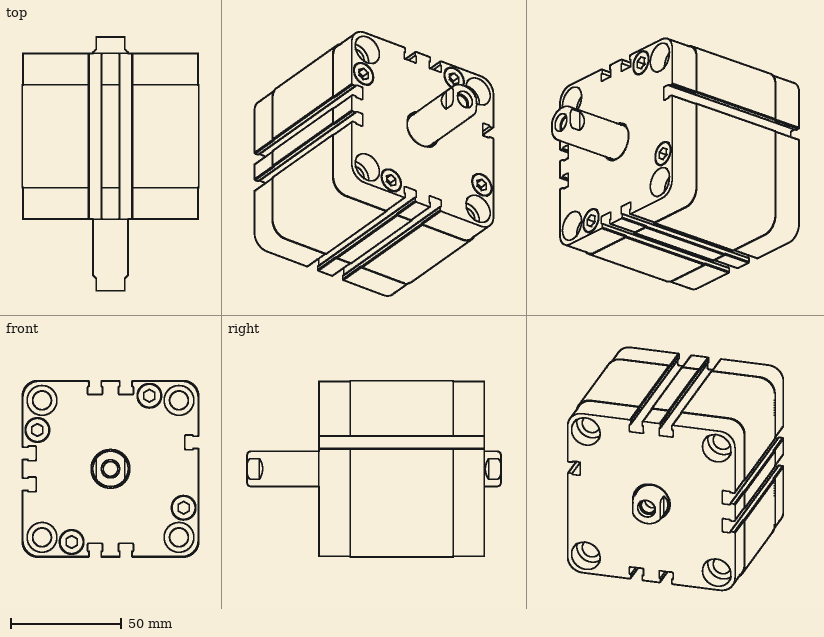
import cadquery as cq
import math


BARREL_WIDTH = 80.0
BARREL_CORNER_RADIUS = 7.3
CAP_STEP = 0.35
CAP_WIDTH = BARREL_WIDTH - 2 * CAP_STEP
CAP_CORNER_RADIUS = BARREL_CORNER_RADIUS - CAP_STEP / 2
CAP_LENGTH = 14.2
HOUSING_LENGTH = 75.0
BARREL_LENGTH = HOUSING_LENGTH - 2 * CAP_LENGTH

SLOT_OFFSET = 7.0
SINGLE_SLOT_OFFSET = 12.0
SLOT_MOUTH_WIDTH = 5.4
SLOT_INNER_WIDTH = 6.6
SLOT_LIP_LEVEL = BARREL_WIDTH / 2 - 2.6
SLOT_FLOOR_LEVEL = BARREL_WIDTH / 2 - 6.3
SLOT_INNER_RADIUS = 0.5
SLOT_EDGE_CHAMFER = 0.4
SLOT_CUT_MARGIN = 1.0

MOUNT_HOLE_SPACING = 62.0
MOUNT_HOLE_DIAMETER = 8.38
MOUNT_COUNTERBORE_DIAMETER = 13.5
MOUNT_COUNTERBORE_DEPTH = 8.3

SCREW_SHORT_OFFSET = 17.6
SCREW_LONG_OFFSET = 33.1
SCREW_COUNT = 4
SCREW_SEAT_DIAMETER = 11.1
SCREW_HEAD_DIAMETER = 10.5
SCREW_HEAD_HEIGHT = 6.0
SCREW_SOCKET_FLATS = 5.0
SCREW_SOCKET_DEPTH = 4.0

ROD_DIAMETER = 16.0
ROD_FRONT_PROJECTION = 32.5
ROD_REAR_PROJECTION = 7.5
ROD_LENGTH = ROD_FRONT_PROJECTION + HOUSING_LENGTH + ROD_REAR_PROJECTION
ROD_TIP_RADIUS = 1.8
ROD_FLATS_WIDTH = 13.0
ROD_FLATS_LENGTH = 5.6
ROD_SEAL_DIAMETER = 17.6
ROD_SEAL_DEPTH = 1.0

THREAD_CORE_DIAMETER = 6.65
THREAD_MOUTH_DIAMETER = 8.25
THREAD_MOUTH_DEPTH = 3.0
THREAD_DEPTH = 20.0
DRILL_POINT_ANGLE = 118.0


def plane_at(y):
    """Plane across the rod axis: local x is X, local y is Z, extrusions run toward -Y."""
    return cq.Workplane("XZ", origin=(0, y, 0))


def slot_cutter(half_width, y_start, length):
    """T-slot tool centred on X = 0, opening through the top face at Z = half_width."""
    inner_height = SLOT_LIP_LEVEL - SLOT_FLOOR_LEVEL
    mid_height = SLOT_FLOOR_LEVEL + inner_height / 2
    chamber = (
        plane_at(y_start + length)
        .center(0, mid_height)
        .rect(SLOT_INNER_WIDTH, inner_height)
        .extrude(length)
        .edges("|Y")
        .fillet(SLOT_INNER_RADIUS)
    )
    half_mouth = SLOT_MOUTH_WIDTH / 2
    half_flare = half_mouth + SLOT_EDGE_CHAMFER
    mouth = (
        plane_at(y_start + length)
        .moveTo(-half_mouth, mid_height)
        .lineTo(half_mouth, mid_height)
        .lineTo(half_mouth, half_width - SLOT_EDGE_CHAMFER)
        .lineTo(half_flare, half_width)
        .lineTo(half_flare, half_width + SLOT_CUT_MARGIN)
        .lineTo(-half_flare, half_width + SLOT_CUT_MARGIN)
        .lineTo(-half_flare, half_width)
        .lineTo(-half_mouth, half_width - SLOT_EDGE_CHAMFER)
        .close()
        .extrude(length)
    )
    return chamber.union(mouth)


def on_face(tool, offset, turn):
    """Shift a top-face tool sideways, then turn it about Y onto another face."""
    return tool.translate((offset, 0, 0)).rotate((0, 0, 0), (0, 1, 0), turn)


def housing_section(width, corner_radius, y_start, length):
    """Rounded square section of the housing with its sensor slots."""
    section = plane_at(y_start + length).rect(width, width).extrude(length)
    section = section.edges("|Y").fillet(corner_radius)
    cutter = slot_cutter(width / 2, y_start, length)
    for turn in (0, 180, 270):
        for offset in (-SLOT_OFFSET, SLOT_OFFSET):
            section = section.cut(on_face(cutter, offset, turn))
    return section.cut(on_face(cutter, -SINGLE_SLOT_OFFSET, 90))


def housing():
    """Barrel with an end cap on each end."""
    front_cap = housing_section(CAP_WIDTH, CAP_CORNER_RADIUS, 0, CAP_LENGTH)
    barrel = housing_section(BARREL_WIDTH, BARREL_CORNER_RADIUS, CAP_LENGTH, BARREL_LENGTH)
    rear_cap = front_cap.translate((0, CAP_LENGTH + BARREL_LENGTH, 0))
    return front_cap.union(barrel).union(rear_cap)


def cylinder(diameter, y_start, length):
    """Cylinder on the rod axis, from y_start toward +Y."""
    return plane_at(y_start + length).circle(diameter / 2).extrude(length)


def mounting_holes():
    """Four through holes with a counterbore at each end."""
    rear_start = HOUSING_LENGTH - MOUNT_COUNTERBORE_DEPTH
    hole = (
        cylinder(MOUNT_HOLE_DIAMETER, 0, HOUSING_LENGTH)
        .union(cylinder(MOUNT_COUNTERBORE_DIAMETER, 0, MOUNT_COUNTERBORE_DEPTH))
        .union(cylinder(MOUNT_COUNTERBORE_DIAMETER, rear_start, MOUNT_COUNTERBORE_DEPTH))
    )
    half = MOUNT_HOLE_SPACING / 2
    holes = cq.Workplane()
    for x in (-half, half):
        for z in (-half, half):
            holes.add(hole.translate((x, 0, z)))
    return holes.combine()


def screw_gaps():
    """Clearance rings and hex sockets of the cap screws, repeated around the rod axis."""
    ring = cylinder(SCREW_SEAT_DIAMETER, 0, SCREW_HEAD_HEIGHT).cut(
        cylinder(SCREW_HEAD_DIAMETER, 0, SCREW_HEAD_HEIGHT)
    )
    socket_corners = SCREW_SOCKET_FLATS / math.cos(math.radians(30))
    socket = plane_at(SCREW_SOCKET_DEPTH).polygon(6, socket_corners).extrude(SCREW_SOCKET_DEPTH)
    socket = socket.rotate((0, 0, 0), (0, 1, 0), 90)
    gaps = cq.Workplane()
    for i in range(SCREW_COUNT):
        turn = i * math.tau / SCREW_COUNT
        x = SCREW_SHORT_OFFSET * math.cos(turn) + SCREW_LONG_OFFSET * math.sin(turn)
        z = SCREW_LONG_OFFSET * math.cos(turn) - SCREW_SHORT_OFFSET * math.sin(turn)
        gaps.add(ring.translate((x, 0, z)))
        gaps.add(socket.translate((x, 0, z)))
    return gaps.combine()


def seal_recess():
    """Shallow recess around the rod in the front and rear faces."""
    front = cylinder(ROD_SEAL_DIAMETER, 0, ROD_SEAL_DEPTH)
    return front.union(front.translate((0, HOUSING_LENGTH - ROD_SEAL_DEPTH, 0)))


def rod_flat_cutter():
    """Tool for one wrench flat at a rod end at Y = 0, with a 45 degree run-out."""
    inner = ROD_FLATS_WIDTH / 2
    outer = ROD_DIAMETER / 2
    return (
        cq.Workplane("XY")
        .moveTo(inner, 0)
        .lineTo(outer, 0)
        .lineTo(outer, ROD_FLATS_LENGTH + outer - inner)
        .lineTo(inner, ROD_FLATS_LENGTH)
        .close()
        .extrude(outer, both=True)
    )


def threaded_hole():
    """Blind hole from Y = 0 with a counterbored mouth and a drill point."""
    core = THREAD_CORE_DIAMETER / 2
    mouth = THREAD_MOUTH_DIAMETER / 2
    point_length = core / math.tan(math.radians(DRILL_POINT_ANGLE / 2))
    return (
        cq.Workplane("XY")
        .lineTo(mouth, 0)
        .lineTo(mouth, THREAD_MOUTH_DEPTH)
        .lineTo(core, THREAD_MOUTH_DEPTH)
        .lineTo(core, THREAD_DEPTH)
        .lineTo(0, THREAD_DEPTH + point_length)
        .close()
        .revolve(360, (0, 0, 0), (0, 1, 0))
    )


def piston_rod():
    """Through rod with rounded tips, wrench flats and a threaded hole at both ends."""
    rod = cylinder(ROD_DIAMETER, 0, ROD_LENGTH).edges("%CIRCLE").fillet(ROD_TIP_RADIUS)
    flat = rod_flat_cutter()
    for tool in (flat, flat.mirror("YZ"), threaded_hole()):
        rod = rod.cut(tool)
        rod = rod.cut(tool.mirror("XZ").translate((0, ROD_LENGTH, 0)))
    return rod.translate((0, -ROD_FRONT_PROJECTION, 0))


body = housing().cut(mounting_holes()).cut(screw_gaps()).cut(seal_recess())
result = body.union(piston_rod())